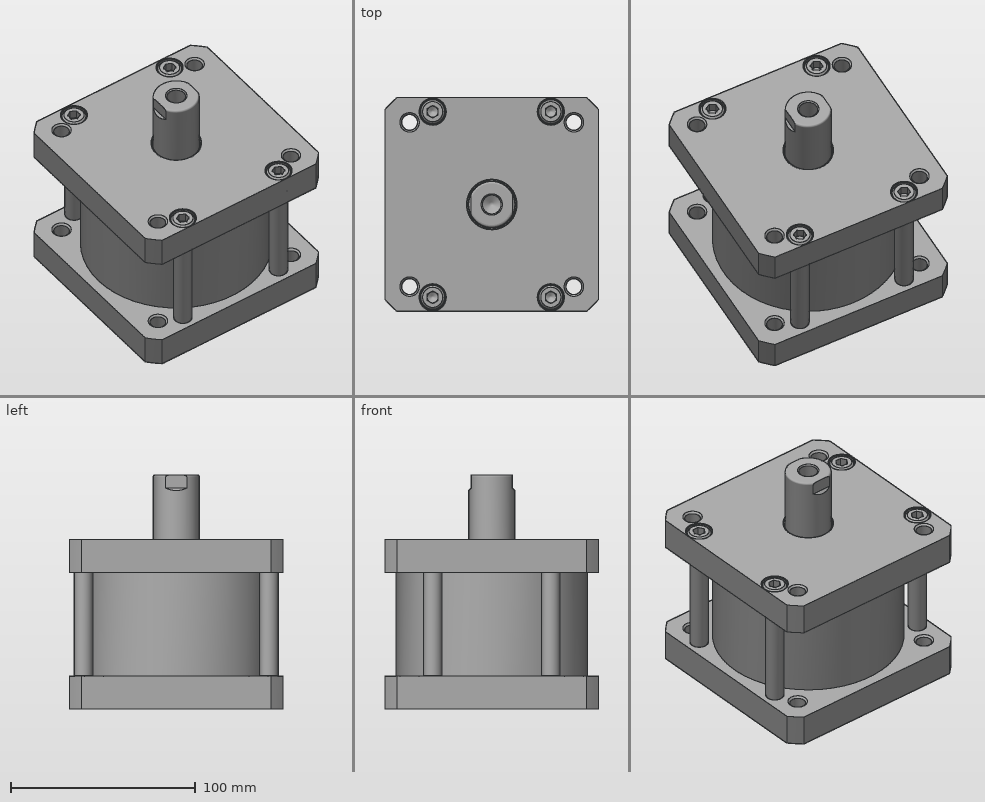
import cadquery as cq
import math

plate_thickness = 17.9
barrel_length = 56.1
total_height = 127.0
upper_plate_base = plate_thickness + barrel_length
upper_plate_top = upper_plate_base + plate_thickness

plate_side = 116.0
corner_turning_diameter = 155.0
mount_hole_pitch = 89.0
mount_hole_diameter = 8.5
mount_hole_mouth = 10.5
rod_bore_diameter = 25.7
rod_recess_diameter = 26.9
rod_recess_depth = 1.0
rod_recess_mouth = 27.4

barrel_diameter = 104.0

rod_diameter = 25.0
rod_tip_fillet = 1.3
flats_across = 22.2
flat_length = 7.1
rod_hole_diameter = 10.2
rod_hole_mouth = 11.5
rod_hole_depth = 20.3

bolt_pitch_x = 64.0
bolt_pitch_y = 100.6
bolt_shank_diameter = 10.2
bolt_end_chamfer = 0.4
bolt_head_diameter = 13.0
bolt_head_height = 10.0
bolt_head_chamfer = 1.0
head_recess_diameter = 14.0
head_recess_mouth = 14.7
head_recess_depth = bolt_head_height
hex_across_flats = 6.0
hex_depth = 5.0

drill_point_angle = 118.0


def cone_height(diameter):
    """Height of the conical end that a drill leaves in a blind hole."""
    return diameter / 2 / math.tan(math.radians(drill_point_angle / 2))


def grid_points(pitch_x, pitch_y):
    """The four corners of a rectangle centred on the Z axis."""
    return [(sx * pitch_x / 2, sy * pitch_y / 2) for sx in (-1, 1) for sy in (-1, 1)]


def cylinder(diameter, base, height, place=(0, 0)):
    """Upright cylinder standing at height base, centred on place."""
    return cq.Workplane("XY", origin=(*place, base)).circle(diameter / 2).extrude(height)


def countersink(mouth, hole, surface, place=(0, 0)):
    """45 degree cone that widens a hole to its mouth in a surface facing up."""
    depth = (mouth - hole) / 2
    return cq.Workplane("XY").add(
        cq.Solid.makeCone(
            mouth / 2, hole / 2, depth, cq.Vector(*place, surface), cq.Vector(0, 0, -1)
        )
    )


def drill_point(diameter, base, place=(0, 0)):
    """Cone that points down from the flat end of a hole."""
    return cq.Workplane("XY").add(
        cq.Solid.makeCone(
            diameter / 2, 0, cone_height(diameter), cq.Vector(*place, base), cq.Vector(0, 0, -1)
        )
    )


bolt_points = grid_points(bolt_pitch_x, bolt_pitch_y)
mount_points = grid_points(mount_hole_pitch, mount_hole_pitch)


def end_plate(base):
    """Square plate with turned corners and four mounting holes."""
    square = cq.Workplane("XY", origin=(0, 0, base)).rect(plate_side, plate_side).extrude(plate_thickness)
    plate = square.intersect(cylinder(corner_turning_diameter, base, plate_thickness))
    top = base + plate_thickness
    for place in mount_points:
        plate = plate.cut(cylinder(mount_hole_diameter, base, plate_thickness, place))
        plate = plate.cut(countersink(mount_hole_mouth, mount_hole_diameter, top, place))
    return plate


def make_upper_plate():
    """End plate with the rod bore, its shallow recess and the recessed bolt holes."""
    plate = end_plate(upper_plate_base)
    plate = plate.cut(cylinder(rod_bore_diameter, upper_plate_base, plate_thickness))
    rod_recess_base = upper_plate_top - rod_recess_depth
    plate = plate.cut(cylinder(rod_recess_diameter, rod_recess_base, rod_recess_depth))
    plate = plate.cut(countersink(rod_recess_mouth, rod_recess_diameter, upper_plate_top))
    for place in bolt_points:
        plate = plate.cut(cylinder(bolt_shank_diameter, upper_plate_base, plate_thickness, place))
        recess_base = upper_plate_top - head_recess_depth
        plate = plate.cut(cylinder(head_recess_diameter, recess_base, head_recess_depth, place))
        plate = plate.cut(countersink(head_recess_mouth, head_recess_diameter, upper_plate_top, place))
    return plate


def make_piston_rod():
    """Rod standing on the barrel, with two wrench flats and a blind hole in its tip."""
    rod = cylinder(rod_diameter, upper_plate_base, total_height - upper_plate_base)
    rod = rod.faces(">Z").fillet(rod_tip_fillet)
    flat_base = total_height - flat_length
    outside = rod_diameter / 2
    inside = flats_across / 2
    slope = outside - inside
    profile = (
        cq.Workplane("XZ")
        .moveTo(inside, total_height)
        .lineTo(inside, flat_base)
        .lineTo(outside, flat_base - slope)
        .lineTo(outside, total_height)
        .close()
    )
    flat_cut = profile.extrude(outside, both=True)
    rod = rod.cut(flat_cut).cut(flat_cut.mirror("YZ"))
    hole_base = total_height - rod_hole_depth
    rod = rod.cut(cylinder(rod_hole_diameter, hole_base, rod_hole_depth))
    rod = rod.cut(drill_point(rod_hole_diameter, hole_base))
    return rod.cut(countersink(rod_hole_mouth, rod_hole_diameter, total_height))


def make_tie_bolt(place):
    """Socket-head bolt standing on the lower plate, its head flush with the upper plate."""
    head_base = upper_plate_top - bolt_head_height
    shank = cylinder(bolt_shank_diameter, plate_thickness, head_base - plate_thickness, place)
    shank = shank.faces("<Z").chamfer(bolt_end_chamfer)
    head = cylinder(bolt_head_diameter, head_base, bolt_head_height, place)
    head = head.faces(">Z").chamfer(bolt_head_chamfer)
    hex_base = upper_plate_top - hex_depth
    hex_corner_diameter = hex_across_flats / math.cos(math.pi / 6)
    socket = (
        cq.Workplane("XY", origin=(*place, hex_base))
        .transformed(rotate=(0, 0, 90))
        .polygon(6, hex_corner_diameter)
        .extrude(hex_depth)
    )
    bolt = shank.union(head).cut(socket)
    return bolt.cut(drill_point(hex_across_flats, hex_base, place))


lower_plate = end_plate(0)
upper_plate = make_upper_plate()
barrel = cylinder(barrel_diameter, plate_thickness, barrel_length)
piston_rod = make_piston_rod()
tie_bolts = [make_tie_bolt(place) for place in bolt_points]

result = cq.Compound.makeCompound(
    [lower_plate.val(), upper_plate.val(), barrel.val(), piston_rod.val()]
    + [bolt.val() for bolt in tie_bolts]
)